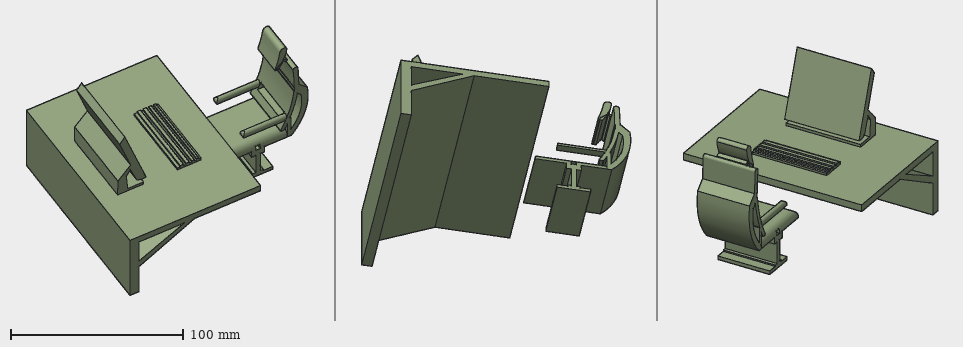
import cadquery as cq


desk_width = 120.0
desk_depth = 87.5
desk_top = 46.5
tabletop_thickness = 4.5
leg_thickness = 6.2
tabletop_underside = desk_top - tabletop_thickness
brace_outer_reach = 43.3
brace_outer_foot = 21.2
brace_inner_reach = 36.5
brace_inner_foot = 26.0

device_width = 50.0
keyboard_front = 68.0
keyboard_back = 52.0
keyboard_base_height = 1.4
key_row_height = 1.0
key_rows = [(54.0, 56.4), (57.9, 60.2), (61.7, 63.6), (65.0, 66.5)]
monitor_foot_thickness = 1.8
monitor_foot_top = desk_top + monitor_foot_thickness
monitor_foot_front = 29.3
monitor_foot_back = 12.0

chair_width = 35.0
seat_front = desk_depth
seat_bottom = 25.9
seat_top = 31.5
seat_edge_radius = 5.0
post_front = 130.0
post_back = 132.4
post_top = 41.0
chair_back = 144.085
arch_widest_height = 54.7

armrest_width = 4.0
armrest_radius = armrest_width / 2
armrest_front = 100.8
armrest_overlap = 0.8
armrest_slab_thickness = 1.1
armrest_back = post_front + armrest_overlap
armrest_bottom = 40.5
armrest_top = armrest_bottom + armrest_slab_thickness + armrest_radius
window_bottom = 38.7
window_top = armrest_top
window_front = 125.0
window_back = 134.0
window_width = chair_width - 2 * armrest_width

headrest_width = 20.0
headrest_crown = 93.08
bracket_width = 19.6

stand_centre = 110.45
stem_width = 3.0
stand_block_width = 8.7
stand_block_bottom = 21.5
stand_collar_width = 7.2
stand_collar_top = 7.2
stand_base_width = 19.8
stand_base_top = 6.3
stand_base_bottom = 3.9
seat_slot_top = 28.7


def side_sketch(y, z):
    """Start an outline in the YZ plane."""
    return cq.Workplane("YZ").moveTo(y, z)


def extrude_across(outline, width):
    """Extrude a closed YZ outline to a width centred on X = 0."""
    return outline.extrude(width / 2, both=True)


def box_across(width, y_from, y_to, z_from, z_to):
    outline = side_sketch(y_from, z_from).lineTo(y_to, z_from).lineTo(y_to, z_to).lineTo(y_from, z_to).close()
    return extrude_across(outline, width)


def round_edged_slab(width, front, back, bottom, top, radius):
    """Slab centred on X = 0 whose top edges are rounded at the front and both sides, meeting in mitres."""
    half_width = width / 2
    flat_width = width - 2 * radius
    shoulder = top - radius
    side_shape = extrude_across(
        side_sketch(back, bottom)
        .lineTo(front, bottom)
        .lineTo(front, shoulder)
        .radiusArc((front + radius, top), radius)
        .lineTo(back, top)
        .close(),
        width,
    )
    front_outline = (
        cq.Workplane("XZ", origin=(0, back, 0))
        .moveTo(-half_width, bottom)
        .lineTo(-half_width, shoulder)
        .radiusArc((-half_width + radius, top), radius)
    )
    if flat_width > 0:
        front_outline = front_outline.lineTo(half_width - radius, top)
    front_outline = front_outline.radiusArc((half_width, shoulder), radius).lineTo(half_width, bottom).close()
    return side_shape.intersect(front_outline.extrude(back - front))


def make_tabletop_and_leg():
    tabletop = box_across(desk_width, 0, desk_depth, tabletop_underside, desk_top)
    leg = box_across(desk_width, 0, leg_thickness, 0, desk_top)
    brace = extrude_across(
        side_sketch(brace_outer_reach, tabletop_underside)
        .lineTo(leg_thickness, brace_outer_foot)
        .lineTo(leg_thickness, brace_inner_foot)
        .lineTo(brace_inner_reach, tabletop_underside)
        .close(),
        desk_width,
    )
    return tabletop.union(leg).union(brace)


def make_keyboard():
    base_top = desk_top + keyboard_base_height
    keyboard = box_across(device_width, keyboard_back, keyboard_front, desk_top, base_top)
    for row_back, row_front in key_rows:
        row = box_across(device_width, row_back, row_front, base_top, base_top + key_row_height)
        keyboard = keyboard.union(row)
    return keyboard


def make_monitor():
    outline = (
        side_sketch(monitor_foot_back, desk_top)
        .lineTo(monitor_foot_front, desk_top)
        .lineTo(monitor_foot_front, monitor_foot_top)
        .lineTo(18.8, monitor_foot_top)
        .lineTo(17.8, 59.2)
        .lineTo(20.6, 63.3)
        .lineTo(24.7, 52.6)
        .threePointArc((28.3, 51.3), (31.1, 51.6))
        .lineTo(16.8, 92.9)
        .lineTo(13.4, 88.4)
        .lineTo(20.7, 67.1)
        .lineTo(12.2, 58.0)
        .lineTo(monitor_foot_back, monitor_foot_top)
        .close()
    )
    return extrude_across(outline, device_width)


def make_desk():
    return make_tabletop_and_leg().union(make_keyboard()).union(make_monitor())


def make_arch():
    """Curved rear shell from under the seat up to the backrest, with the post that closes it."""
    outer = extrude_across(
        side_sketch(post_front, seat_bottom)
        .lineTo(132.8, seat_bottom)
        .threePointArc((chair_back, arch_widest_height), (143.5, 60.9))
        .lineTo(137.8, 66.4)
        .lineTo(135.5, 66.4)
        .lineTo(135.5, 57.0)
        .lineTo(post_front, post_top)
        .close(),
        chair_width,
    )
    cavity = extrude_across(
        side_sketch(post_back, 31.2)
        .threePointArc((139.0, 44.7), (139.2, 57.0))
        .lineTo(136.9, 59.3)
        .lineTo(133.5, 50.0)
        .lineTo(131.2, post_top)
        .lineTo(post_back, post_top)
        .close(),
        chair_width,
    )
    return outer.cut(cavity)


def make_backrest():
    """Leaning curved panel with a hanging lower lip."""
    outline = (
        side_sketch(125.3, 33.5)
        .threePointArc((131.2, 46.8), (134.45, 62.2))
        .lineTo(134.85, 62.2)
        .lineTo(135.0, 65.4)
        .lineTo(134.4, 65.6)
        .threePointArc((134.4, 74.0), (133.8, 80.4))
        .threePointArc((135.5, 81.8), (137.3, 80.4))
        .lineTo(137.8, 66.2)
        .lineTo(137.0, 60.0)
        .threePointArc((133.5, 45.7), (128.3, 33.4))
        .lineTo(127.6, 32.8)
        .lineTo(125.9, 32.8)
        .close()
    )
    return extrude_across(outline, chair_width)


def make_back_window():
    """Opening through the backrest and the post, between the armrests."""
    return box_across(window_width, window_front, window_back, window_bottom, window_top)


def make_armrest(side):
    armrest = round_edged_slab(
        armrest_width, armrest_front, armrest_back, armrest_bottom, armrest_top, armrest_radius
    )
    return armrest.translate((side * (chair_width - armrest_width) / 2, 0, 0))


def make_headrest():
    """Cushion on a slightly narrower bracket that reaches forward from the top of the backrest."""
    cushion = extrude_across(
        side_sketch(127.2, 78.2)
        .lineTo(131.6, 82.2)
        .lineTo(131.6, 82.9)
        .threePointArc((133.3, 87.2), (134.15, 91.4))
        .threePointArc((133.5, 92.6), (131.8, headrest_crown))
        .threePointArc((130.2, 92.2), (129.3, 90.4))
        .threePointArc((128.2, 84.8), (126.2, 77.8))
        .lineTo(126.2, 77.0)
        .lineTo(127.2, 77.0)
        .close(),
        headrest_width,
    )
    bracket = extrude_across(
        side_sketch(134.5, 82.0)
        .lineTo(132.3, 83.2)
        .lineTo(131.0, 83.0)
        .lineTo(126.8, 78.5)
        .lineTo(126.8, 77.2)
        .lineTo(127.3, 76.7)
        .lineTo(128.7, 76.7)
        .lineTo(131.7, 82.0)
        .lineTo(132.2, 81.8)
        .lineTo(133.2, 80.7)
        .lineTo(134.5, 80.7)
        .close(),
        bracket_width,
    )
    return cushion.union(bracket)


def make_stand():
    levels = [
        (stand_block_width, stand_block_bottom, seat_bottom),
        (stem_width, stand_collar_top, stand_block_bottom),
        (stand_collar_width, stand_base_top, stand_collar_top),
        (stand_base_width, stand_base_bottom, stand_base_top),
    ]
    stand = cq.Workplane("YZ")
    for depth, bottom, top in levels:
        level = box_across(chair_width, stand_centre - depth / 2, stand_centre + depth / 2, bottom, top)
        stand = stand.union(level)
    return stand


def make_seat():
    seat = round_edged_slab(chair_width, seat_front, post_front, seat_bottom, seat_top, seat_edge_radius)
    half_slot = stem_width / 2
    slot = box_across(chair_width, stand_centre - half_slot, stand_centre + half_slot, seat_bottom, seat_slot_top)
    return seat.cut(slot)


def make_chair():
    chair = make_arch().union(make_backrest()).cut(make_back_window())
    for side in (-1, 1):
        chair = chair.union(make_armrest(side))
    return chair.union(make_headrest()).union(make_seat()).union(make_stand())


desk = make_desk()
chair = make_chair()

result = cq.Compound.makeCompound([desk.val(), chair.val()])